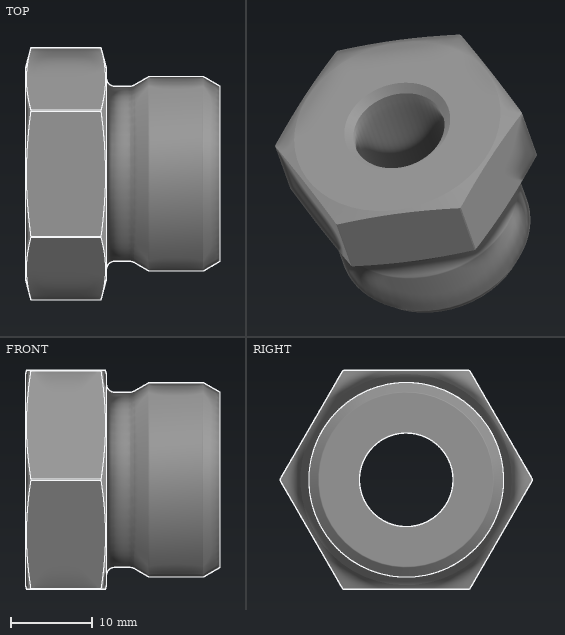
import cadquery as cq
import math

total_length = 24.0
across_flats = 27.0
across_corners = 31.08

head_length = 10.0
head_face_diameter = 26.0
head_chamfer_angle = 15.0

shank_diameter = 24.0
neck_diameter = 21.6
neck_fillet = 1.0
shank_start = 15.23
cone_angle = 30.0
shoulder_rounding = 0.37
tip_rounding = 0.15

bore_diameter = 11.5
countersink_diameter = 13.35
countersink_angle = 45.0


def make_head():
    """Hexagon with corners up and down Y, trimmed by a double-chamfered disc."""
    flat_normal_angle = 30.0
    hexagon = (
        cq.Workplane("YZ")
        .polygon(6, across_flats / math.cos(math.radians(flat_normal_angle)))
        .extrude(head_length)
    )
    face_radius = head_face_diameter / 2
    corner_radius = across_corners / 2
    chamfer_length = (corner_radius - face_radius) * math.tan(math.radians(head_chamfer_angle))
    envelope = (
        cq.Workplane("XY")
        .moveTo(0, 0)
        .lineTo(0, face_radius)
        .lineTo(chamfer_length, corner_radius)
        .lineTo(head_length - chamfer_length, corner_radius)
        .lineTo(head_length, face_radius)
        .lineTo(head_length, 0)
        .close()
        .revolve(360, (0, 0, 0), (1, 0, 0))
    )
    return hexagon.intersect(envelope)


def edge_at(x, radius):
    """Select the circular edge of the given radius around the axis at x."""
    margin = 0.03
    reach = radius + margin
    return cq.selectors.BoxSelector(
        (x - margin, -reach, -reach),
        (x + margin, reach, reach),
        boundingbox=True,
    )


def make_shank():
    """Filleted neck that flares into the shank, which ends in a tapered tip."""
    neck_radius = neck_diameter / 2
    shank_radius = shank_diameter / 2
    taper_length = (shank_radius - neck_radius) / math.tan(math.radians(cone_angle))
    flare_start = shank_start - taper_length
    tip_start = total_length - taper_length
    wall_fillet_top = neck_radius + neck_fillet
    neck_start = head_length + neck_fillet
    fillet_diagonal = neck_fillet * math.sqrt(0.5)
    profile = (
        cq.Workplane("XY")
        .moveTo(head_length, 0)
        .lineTo(head_length, wall_fillet_top)
        .threePointArc(
            (neck_start - fillet_diagonal, wall_fillet_top - fillet_diagonal),
            (neck_start, neck_radius),
        )
        .lineTo(flare_start, neck_radius)
        .lineTo(shank_start, shank_radius)
        .lineTo(tip_start, shank_radius)
        .lineTo(total_length, neck_radius)
        .lineTo(total_length, 0)
        .close()
    )
    shank = profile.revolve(360, (0, 0, 0), (1, 0, 0))

    shank = shank.edges(edge_at(flare_start, neck_radius)).fillet(neck_fillet)
    shank = shank.edges(edge_at(shank_start, shank_radius)).fillet(shoulder_rounding)
    shank = shank.edges(edge_at(tip_start, shank_radius)).fillet(tip_rounding)
    return shank.edges(edge_at(total_length, neck_radius)).fillet(tip_rounding)


def make_bore():
    """Through bore and the conical countersink at the head face."""
    bore_radius = bore_diameter / 2
    countersink_radius = countersink_diameter / 2
    countersink_depth = (countersink_radius - bore_radius) / math.tan(math.radians(countersink_angle))
    return (
        cq.Workplane("XY")
        .moveTo(0, 0)
        .lineTo(0, countersink_radius)
        .lineTo(countersink_depth, bore_radius)
        .lineTo(total_length, bore_radius)
        .lineTo(total_length, 0)
        .close()
        .revolve(360, (0, 0, 0), (1, 0, 0))
    )


result = make_head().union(make_shank()).cut(make_bore())